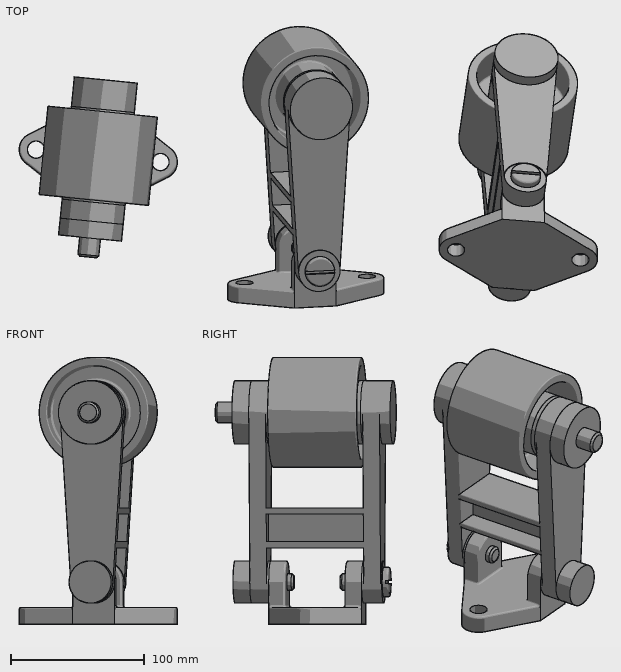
import cadquery as cq
import math

swivel_angle = -5.7

pivot_height = 31.75
axle_height = pivot_height + 127.0

base_half_width = 34.925
plate_thickness = 12.7
ear_spacing = 93.6625
ear_radius = 12.7
ear_hole_diameter = 12.7
plate_edge_fillet = 1.5875
lug_radius = 15.875
lug_thickness = 12.7
lug_inner = base_half_width - lug_thickness
lug_edge_fillet = 1.5875
lug_foot_fillet = 1.5875

cheek_thickness = 12.7
cheek_clearance = 1.5875
cheek_inner = base_half_width + cheek_clearance
cheek_outer = cheek_inner + cheek_thickness
axle_boss_radius = 23.8125
pivot_boss_radius = lug_radius
axle_boss_back = 57.15
pivot_boss_back = cheek_outer + 0.79375
beam_top = 87.3125
beam_height = 30.1625
beam_bottom = beam_top - beam_height
flange_thickness = 4.7625
beam_web_thickness = 4.7625
window_fillet = 1.5875

roller_radius = 41.275
roller_half_length = 33.3375
roller_bore_radius = 34.925
roller_edge_fillet = 0.79375
roller_web_thickness = 15.875
web_fillet = 1.5875
washer_thickness = 3.175
washer_radius = axle_boss_radius
hub_radius = axle_boss_radius
hub_half_length = base_half_width - washer_thickness

axle_radius = 7.9375
axle_tip = -76.2
axle_end = cheek_outer
axle_tip_chamfer = 1.5875
cap_thickness = 12.7
cap_outer = cheek_outer + cap_thickness
screw_radius = 6.35
screw_tip = 17.4625
screw_tip_chamfer = 1.5875
screw_head_radius = 11.1125
screw_head_height = 4.7625
screw_head_fillet = 1.5875
slot_width = 2.38125
slot_depth = 2.38125


def cylinder_y(radius, y_start, y_end, height):
    """Cylinder along Y between two Y positions, its axis at the given height."""
    start = cq.Vector(0, y_start, height)
    along = cq.Vector(0, y_end - y_start, 0)
    return cq.Workplane(cq.Solid.makeCylinder(radius, abs(y_end - y_start), start, along.normalized()))


def block(x_range, y_range, z_range):
    """Box between pairs of X, Y and Z positions."""
    sizes = [end - start for start, end in (x_range, y_range, z_range)]
    corner = (x_range[0], y_range[0], z_range[0])
    return cq.Workplane("XY").box(*sizes, centered=False).translate(corner)


def extrude_along_y(outline, y_start, y_end):
    """Extrude an XZ outline from one Y position to a larger one."""
    return outline.extrude(y_start - y_end).translate((0, y_start, 0))


def ear_tangent_point():
    """Where the sloping side of the plate, from a flat edge's end, touches the ear circle."""
    ear_x = ear_spacing / 2
    offset_x = lug_radius - ear_x
    to_corner = math.atan2(base_half_width, offset_x)
    spread = math.acos(ear_radius / math.hypot(offset_x, base_half_width))
    angle = to_corner - spread
    return ear_x + ear_radius * math.cos(angle), ear_radius * math.sin(angle)


def make_plate():
    """Diamond plate: a flat edge as wide as the lugs on each side and a rounded ear at each end."""
    touch_x, touch_y = ear_tangent_point()
    tip = ear_spacing / 2 + ear_radius
    plate = (
        cq.Workplane("XY")
        .moveTo(-lug_radius, -base_half_width)
        .lineTo(lug_radius, -base_half_width)
        .lineTo(touch_x, -touch_y)
        .threePointArc((tip, 0), (touch_x, touch_y))
        .lineTo(lug_radius, base_half_width)
        .lineTo(-lug_radius, base_half_width)
        .lineTo(-touch_x, touch_y)
        .threePointArc((-tip, 0), (-touch_x, -touch_y))
        .close()
        .extrude(plate_thickness)
    )
    flat_edges = cq.selectors.BoxSelector(
        (-lug_radius, -base_half_width - 1, 0), (lug_radius, base_half_width + 1, 2 * plate_thickness)
    )
    return plate.faces(">Z").edges(cq.selectors.InverseSelector(flat_edges)).fillet(plate_edge_fillet)


def make_lug():
    """Round-topped lug on the +Y side, its outer face flush with the flat edge of the plate."""
    outline = (
        cq.Workplane("XZ")
        .moveTo(-lug_radius, 0)
        .lineTo(-lug_radius, pivot_height)
        .threePointArc((0, pivot_height + lug_radius), (lug_radius, pivot_height))
        .lineTo(lug_radius, 0)
        .close()
    )
    lug = extrude_along_y(outline, lug_inner, base_half_width)
    return lug.faces("<Y").edges("not <Z").fillet(lug_edge_fillet)


def make_base():
    lug = make_lug()
    base = make_plate().union(lug).union(lug.mirror("XZ"))
    for side in (1, -1):
        foot = cq.selectors.BoxSelector(
            (-lug_radius - 1, side * (lug_inner - 1), plate_thickness - 0.1),
            (lug_radius + 1, side * base_half_width, plate_thickness + 0.1),
            boundingbox=True,
        )
        base = base.edges(foot).fillet(lug_foot_fillet)
    ear_holes = (
        cq.Workplane("XY")
        .rarray(ear_spacing, 1, 2, 1)
        .circle(ear_hole_diameter / 2)
        .extrude(plate_thickness)
    )
    screw_hole = cylinder_y(screw_radius, -base_half_width, base_half_width, pivot_height)
    return base.cut(ear_holes).cut(screw_hole)


def make_arm_frame():
    """Tapered frame between the joints: two cheeks joined by an H-section beam."""
    lean = math.asin((axle_boss_radius - pivot_boss_radius) / (axle_height - pivot_height))
    top_half_width = axle_boss_radius * math.cos(lean)
    bottom_half_width = pivot_boss_radius * math.cos(lean)
    top = axle_height - axle_boss_radius * math.sin(lean)
    bottom = pivot_height - pivot_boss_radius * math.sin(lean)
    outline = cq.Workplane("XZ").polyline(
        [
            (-bottom_half_width, bottom),
            (bottom_half_width, bottom),
            (top_half_width, top),
            (-top_half_width, top),
        ]
    ).close()
    frame = extrude_along_y(outline, -cheek_outer, cheek_outer)

    full_x = (-axle_boss_radius, axle_boss_radius)
    inner_y = (-cheek_inner, cheek_inner)
    pocket_z = (beam_bottom + flange_thickness, beam_top - flange_thickness)
    frame = frame.cut(block(full_x, inner_y, (beam_top, top)))
    frame = frame.cut(block(full_x, inner_y, (bottom, beam_bottom)))
    for side in (1, -1):
        pocket_x = sorted((side * beam_web_thickness / 2, side * axle_boss_radius))
        frame = frame.cut(block(pocket_x, inner_y, pocket_z))

    def rounded(edge):
        middle = edge.Center()
        in_front = middle.x < -bottom_half_width
        inside = abs(middle.y) < cheek_inner + 0.1
        along_cheek = middle.y > cheek_inner - 0.1 and middle.z > beam_bottom
        along_beam = abs(middle.y) < 0.1 and middle.z < top - 1
        under_flange = abs(middle.z - pocket_z[1]) < 0.1
        return in_front and inside and (along_cheek or along_beam) and not under_flange

    edges = [edge for edge in frame.edges().vals() if rounded(edge)]
    return frame.newObject(edges).fillet(window_fillet)


def make_arm():
    arm = make_arm_frame()
    bosses = [
        (axle_boss_radius, -cheek_outer, -base_half_width, axle_height),
        (axle_boss_radius, base_half_width, axle_boss_back, axle_height),
        (pivot_boss_radius, -cheek_outer, -base_half_width, pivot_height),
        (pivot_boss_radius, base_half_width, pivot_boss_back, pivot_height),
    ]
    for boss in bosses:
        arm = arm.union(cylinder_y(*boss))
    arm = arm.cut(cylinder_y(axle_radius, -cheek_outer, axle_end, axle_height))
    return arm.cut(cylinder_y(screw_radius, -cheek_outer, pivot_boss_back, pivot_height))


def make_roller():
    """Tube and hub joined by a central disc, all around the axle."""
    half_web = roller_web_thickness / 2
    tube = cylinder_y(roller_radius, -roller_half_length, roller_half_length, axle_height)
    tube = tube.cut(cylinder_y(roller_bore_radius, -roller_half_length, roller_half_length, axle_height))
    tube = tube.faces("<Y or >Y").edges().fillet(roller_edge_fillet)
    hub = cylinder_y(hub_radius, -hub_half_length, hub_half_length, axle_height)
    web = cylinder_y(roller_bore_radius, -half_web, half_web, axle_height)
    roller = tube.union(web).union(hub)
    corners = cq.selectors.BoxSelector(
        (-roller_radius, -half_web - 0.1, 0), (roller_radius, half_web + 0.1, 2 * axle_height), boundingbox=True
    )
    roller = roller.edges(corners).edges("%CIRCLE").fillet(web_fillet)
    return roller.cut(cylinder_y(axle_radius, -hub_half_length, hub_half_length, axle_height))


def make_washer(side):
    """Washer between the hub and the arm, on side +1 or -1 of Y."""
    ends = side * hub_half_length, side * base_half_width
    return cylinder_y(washer_radius, *ends, axle_height).cut(cylinder_y(axle_radius, *ends, axle_height))


def make_axle():
    axle = cylinder_y(axle_radius, axle_tip, axle_end, axle_height)
    return axle.faces("<Y").chamfer(axle_tip_chamfer)


def make_screw(seat):
    """Pivot screw pointing towards -Y, with its head on a seat at the given Y position."""
    shank = cylinder_y(screw_radius, screw_tip, seat, pivot_height).faces("<Y").chamfer(screw_tip_chamfer)
    head = cylinder_y(screw_head_radius, seat, seat + screw_head_height, pivot_height)
    head = head.faces(">Y").edges().fillet(screw_head_fillet)
    slot = block(
        (-screw_head_radius, screw_head_radius),
        (seat + screw_head_height - slot_depth, seat + screw_head_height),
        (pivot_height - slot_width / 2, pivot_height + slot_width / 2),
    )
    return shank.union(head).cut(slot)


def make_axle_cap():
    cap = cylinder_y(axle_boss_radius, -cap_outer, -cheek_outer, axle_height)
    return cap.cut(cylinder_y(axle_radius, -cap_outer, -cheek_outer, axle_height))


def make_pivot_cap(front_screw):
    """Plain disc that hides the head of the front screw."""
    return cylinder_y(pivot_boss_radius, -cap_outer, -cheek_outer, pivot_height).cut(front_screw)


base = make_base()
arm = make_arm()
roller = make_roller()
axle = make_axle()
washers = [make_washer(side) for side in (1, -1)]
back_screw = make_screw(pivot_boss_back)
front_screw = make_screw(cheek_outer).mirror("XZ")
axle_cap = make_axle_cap()
pivot_cap = make_pivot_cap(front_screw)

bodies = [base, arm, roller, axle, *washers, back_screw, front_screw, axle_cap, pivot_cap]
swivel_axis = ((0, 0, 0), (0, 0, 1))
result = cq.Compound.makeCompound([body.rotate(*swivel_axis, swivel_angle).val() for body in bodies])